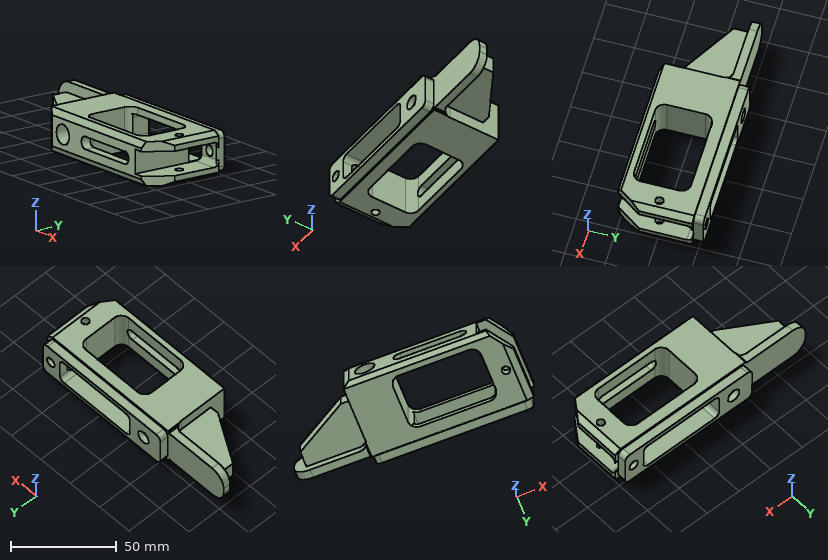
import cadquery as cq
import math

length = 120.0
body_left = 38.0
body_rear = 39.1
body_height = 22.0
body_half = body_height / 2
bevel_depth = 1.9
bevel_width = bevel_depth * math.tan(math.radians(60))

rail_right = 118.0
rail_rear = 44.0
rail_height = 20.0
rail_corner = 3.0

end_bevel_length = 3.5
end_bevel_height = 2.0
corner_cut_length = 9.0
corner_cut_depth = 13.0

tongue_height = 19.9
tongue_corner = 8.0
tongue_front = 34.8
root_radius = 4.7
lip_length = 0.8
lip_chamfer = 0.6

web_height = 9.0
web_left = 6.2
web_tip = 26.9
web_root = (33.1, 10.9)

window_left = 60.2
window_right = 104.9
window_front = 5.0
window_rear = 32.9
window_radius = 4.5

slot_left = 64.1
slot_right = 100.9
slot_height = 6.2

pocket_right = 106.3
pocket_left = window_left + window_right - pocket_right
pocket_front = 31.9
pocket_height = 14.8
pocket_radius = 2.8

bore_x = 49.5
bore_diameter = 10.0
bore_cone_end_diameter = 7.2
bore_depth = body_rear

notch_left = 106.1
notch_fillet = 2.9
notch_height = 12.1
rear_hole_x = 112.5
rear_hole_diameter = 5.3
pin_hole_x = 112.9
pin_hole_y = 21.0
pin_hole_diameter = 4.0


def box(x0, x1, y0, y1, height):
    """Box between two X and two Y limits, centred on Z = 0."""
    return cq.Workplane("XY").box(x1 - x0, y1 - y0, height).translate(((x0 + x1) / 2, (y0 + y1) / 2, 0))


def cylinder_y(x, diameter, y0, y1):
    """Cylinder along Y between two Y limits."""
    return cq.Workplane("XZ", origin=(x, y0, 0)).circle(diameter / 2).extrude(y0 - y1)


def slot_y(x0, x1, height, y0, y1):
    """Round-ended slot along X, cut along Y between two Y limits."""
    plane = cq.Workplane("XZ", origin=((x0 + x1) / 2, y0, 0))
    return plane.slot2D(x1 - x0, height).extrude(y0 - y1)


def prism_x(points, x0, x1):
    """Prism along X with a (y, z) outline."""
    return cq.Workplane("YZ", origin=(x0, 0, 0)).polyline(points).close().extrude(x1 - x0)


def body():
    """Main block with bevelled front edges, bevelled right end and cut right corner."""
    plan = [
        (body_left + bevel_width, 0),
        (length - corner_cut_length, 0),
        (length, corner_cut_depth),
        (length, body_rear),
        (body_left, body_rear),
        (body_left, bevel_depth),
    ]
    block = cq.Workplane("XY", origin=(0, 0, -body_half)).polyline(plan).close().extrude(body_height)
    front_half = body_half - bevel_width
    section = [
        (0, -front_half),
        (bevel_depth, -body_half),
        (body_rear, -body_half),
        (body_rear, body_half),
        (bevel_depth, body_half),
        (0, front_half),
    ]
    elevation = [
        (body_left, -body_half),
        (length - end_bevel_length, -body_half),
        (length, end_bevel_height - body_half),
        (length, body_half - end_bevel_height),
        (length - end_bevel_length, body_half),
        (body_left, body_half),
    ]
    side = cq.Workplane("XZ").polyline(elevation).close().extrude(-body_rear)
    return block.intersect(prism_x(section, body_left, length)).intersect(side)


def rail():
    """Raised rear rail with rounded corners."""
    return box(body_left, rail_right, body_rear, rail_rear, rail_height).edges("|Y").fillet(rail_corner)


def tongue():
    """Rounded tongue, flaring into a full-height lip and a concave root at the body."""
    root_start = body_left - root_radius
    root_end = tongue_front - root_radius
    root_mid = (
        root_start + root_radius * math.sin(math.pi / 4),
        root_end + root_radius * math.cos(math.pi / 4),
    )
    plan = (
        cq.Workplane("XY", origin=(0, 0, -body_half))
        .moveTo(0, body_rear)
        .lineTo(0, tongue_front)
        .lineTo(root_start, tongue_front)
        .threePointArc(root_mid, (body_left, root_end))
        .lineTo(body_left, body_rear)
        .close()
        .extrude(body_height)
    )
    blade = box(0, body_left, 0, body_rear, tongue_height).edges("|Y and <X").fillet(tongue_corner)
    lip = box(body_left - lip_length, body_left, 0, body_rear, body_height)
    lip = lip.edges("|Y and <X").chamfer(lip_chamfer)
    return plan.intersect(blade.union(lip))


def web():
    """Tapered web supporting the tongue."""
    outline = [
        (web_left, tongue_front),
        (web_left, web_tip),
        web_root,
        (body_left, web_root[1]),
        (body_left, tongue_front),
    ]
    return cq.Workplane("XY", origin=(0, 0, -web_height / 2)).polyline(outline).close().extrude(web_height)


def window():
    """Rounded window through the body along Z."""
    cut = box(window_left, window_right, window_front, window_rear, body_height)
    return cut.edges("|Z").fillet(window_radius)


def rear_pocket():
    """Rounded pocket from the rear face, opening into the window and the notch."""
    cut = box(pocket_left, pocket_right, pocket_front, rail_rear, pocket_height)
    return cut.edges("|Y").fillet(pocket_radius)


def bore():
    """Bore from the front face, ending in a cone and a smaller through hole."""
    radius = bore_diameter / 2
    end_radius = bore_cone_end_diameter / 2
    cone_end = bore_depth + radius - end_radius
    profile = [
        (0, 0),
        (radius, 0),
        (radius, bore_depth),
        (end_radius, cone_end),
        (end_radius, rail_rear),
        (0, rail_rear),
    ]
    turned = cq.Workplane("XY").polyline(profile).close().revolve(360, (0, 0), (0, 1))
    return turned.translate((bore_x, 0, 0))


def notch():
    """Open notch at the right end with rounded floor corners."""
    cut = box(notch_left, length, 0, body_rear, notch_height)
    return cut.edges("|X and >Y").fillet(notch_fillet)


result = body().union(rail()).union(tongue()).union(web())
result = result.cut(window()).cut(rear_pocket()).cut(bore()).cut(notch())
result = result.cut(slot_y(slot_left, slot_right, slot_height, 0, window_rear))
result = result.cut(cylinder_y(rear_hole_x, rear_hole_diameter, 0, rail_rear))
pin_hole = cq.Workplane("XY").circle(pin_hole_diameter / 2).extrude(body_height, both=True)
result = result.cut(pin_hole.translate((pin_hole_x, pin_hole_y, 0)))